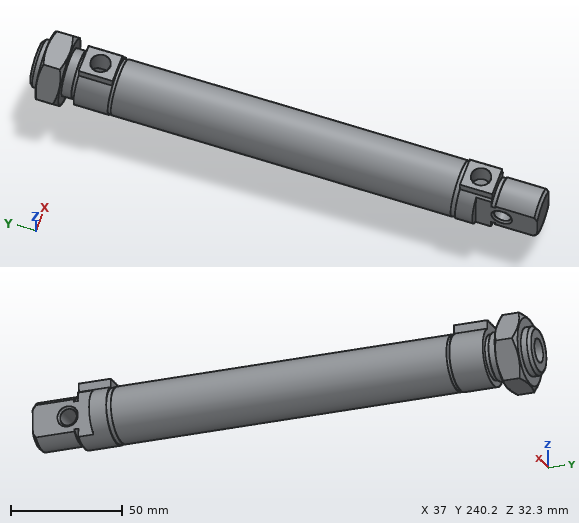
import cadquery as cq
import math

TILT_DEGREES = 0.75

REAR_TONGUE_END = 21.9
REAR_FLATS_END = 29.0
REAR_SHOULDER = 37.2
BARREL_REAR = 39.5
BARREL_FRONT = 200.5
FRONT_SHOULDER = 202.0
FRONT_FACE = 218.1
NUT_REAR = 224.5
CYLINDER_LENGTH = 240.0

CAP_RADIUS = 13.5
BARREL_RADIUS = 13.2
COLLAR_RADIUS = 13.0
SPIGOT_RADIUS = 11.3
NECK_RADIUS = 10.5
NECK_LENGTH = 2.0
SPIGOT_CHAMFER = 1.5
ROD_BORE_RADIUS = 5.5

TONGUE_WIDTH = 16.3
PIVOT_DIAMETER = 8.0
PIVOT_COUNTERSINK_DIAMETER = 9.8
COUNTERSINK_ANGLE = 90
PIVOT_Y = 16.8

PORT_WIDTH = 14.0
PORT_TOP = 15.5
PORT_DIAMETER = 9.1
REAR_PORT_Y = (REAR_TONGUE_END + REAR_SHOULDER) / 2
FRONT_PORT_Y = (FRONT_SHOULDER + FRONT_FACE) / 2
REAR_PORT_DEPTH = 9.5
DRILL_POINT_ANGLE = 118

NUT_ACROSS_FLATS = 32.0
NUT_THICKNESS = 11.0
NUT_CORNER_RADIUS = NUT_ACROSS_FLATS / math.sqrt(3)
NUT_FACE_RADIUS = 15.5
NUT_CHAMFER_ANGLE = 30


def rod(radius, start, end):
    """Solid cylinder along Y between two stations."""
    return cq.Workplane("XZ", origin=(0, start, 0)).circle(radius).extrude(start - end)


def port_block(start, end):
    """Square pad rising from the axis to the port face."""
    return cq.Workplane("XY").box(
        PORT_WIDTH, end - start, PORT_TOP, centered=(True, False, False)
    ).translate((0, start, 0))


def port_hole(y, depth):
    """Straight drill shape running down from the port face."""
    return cq.Workplane("XY", origin=(0, y, PORT_TOP)).circle(PORT_DIAMETER / 2).extrude(-depth)


def drill_point(y, depth):
    """Cone at the bottom of a blind port hole."""
    radius = PORT_DIAMETER / 2
    height = radius / math.tan(math.radians(DRILL_POINT_ANGLE / 2))
    return cq.Workplane(cq.Solid.makeCone(
        radius, 0, height, cq.Vector(0, y, PORT_TOP - depth), cq.Vector(0, 0, -1)
    ))


def make_rear_cap():
    spigot = rod(SPIGOT_RADIUS, 0, REAR_TONGUE_END - NECK_LENGTH).faces("<Y").chamfer(SPIGOT_CHAMFER)
    neck = rod(NECK_RADIUS, REAR_TONGUE_END - NECK_LENGTH, REAR_TONGUE_END)
    flatted_cap = rod(CAP_RADIUS, REAR_TONGUE_END, REAR_FLATS_END)
    flats = cq.Workplane("XY").box(
        TONGUE_WIDTH, REAR_FLATS_END, 2 * CAP_RADIUS, centered=(True, False, True)
    )
    cap = spigot.union(neck).union(flatted_cap).intersect(flats)
    cap = cap.union(rod(CAP_RADIUS, REAR_FLATS_END, REAR_SHOULDER))
    cap = cap.union(rod(COLLAR_RADIUS, REAR_SHOULDER, BARREL_REAR))
    cap = cap.union(port_block(REAR_TONGUE_END, REAR_SHOULDER))
    cap = cap.cut(port_hole(REAR_PORT_Y, REAR_PORT_DEPTH))
    cap = cap.cut(drill_point(REAR_PORT_Y, REAR_PORT_DEPTH))
    return cut_pivot(cap)


def cut_pivot(cap):
    """Cross hole through the tongue, countersunk on both flats."""
    half_width = TONGUE_WIDTH / 2
    outer = PIVOT_COUNTERSINK_DIAMETER / 2
    inner = PIVOT_DIAMETER / 2
    depth = (outer - inner) / math.tan(math.radians(COUNTERSINK_ANGLE / 2))
    hole = cq.Workplane("YZ").center(PIVOT_Y, 0).circle(inner).extrude(half_width, both=True)
    cap = cap.cut(hole)
    for side in (-1, 1):
        cone = cq.Solid.makeCone(
            outer, inner, depth, cq.Vector(side * half_width, PIVOT_Y, 0), cq.Vector(-side, 0, 0)
        )
        cap = cap.cut(cq.Workplane(cone))
    return cap


def make_barrel():
    return rod(BARREL_RADIUS, BARREL_REAR, BARREL_FRONT)


def make_front_cap():
    neck_end = FRONT_FACE + NECK_LENGTH
    cap = rod(SPIGOT_RADIUS, neck_end, CYLINDER_LENGTH).faces(">Y").chamfer(SPIGOT_CHAMFER)
    cap = cap.union(rod(NECK_RADIUS, FRONT_FACE, neck_end))
    cap = cap.union(rod(CAP_RADIUS, FRONT_SHOULDER, FRONT_FACE))
    cap = cap.union(rod(COLLAR_RADIUS, BARREL_FRONT, FRONT_SHOULDER))
    cap = cap.union(port_block(FRONT_SHOULDER, FRONT_FACE))
    cap = cap.cut(port_hole(FRONT_PORT_Y, PORT_TOP))
    return cap.cut(rod(ROD_BORE_RADIUS, BARREL_FRONT, CYLINDER_LENGTH))


def make_nut():
    nut_front = NUT_REAR + NUT_THICKNESS
    nut = cq.Workplane("XZ", origin=(0, NUT_REAR, 0)).polygon(
        6, 2 * NUT_CORNER_RADIUS
    ).extrude(-NUT_THICKNESS)
    drop = (NUT_CORNER_RADIUS - NUT_FACE_RADIUS) * math.tan(math.radians(NUT_CHAMFER_ANGLE))
    envelope = cq.Workplane("XY").polyline([
        (0, NUT_REAR),
        (NUT_FACE_RADIUS, NUT_REAR),
        (NUT_CORNER_RADIUS, NUT_REAR + drop),
        (NUT_CORNER_RADIUS, nut_front - drop),
        (NUT_FACE_RADIUS, nut_front),
        (0, nut_front),
    ]).close().revolve(360, (0, 0, 0), (0, 1, 0))
    return nut.intersect(envelope).cut(rod(SPIGOT_RADIUS, NUT_REAR, nut_front))


def tilted(body):
    return body.rotate((0, 0, 0), (1, 0, 0), TILT_DEGREES)


rear_cap = tilted(make_rear_cap())
barrel = tilted(make_barrel())
front_cap = tilted(make_front_cap())
nut = tilted(make_nut())

result = cq.Compound.makeCompound([rear_cap.val(), barrel.val(), front_cap.val(), nut.val()])